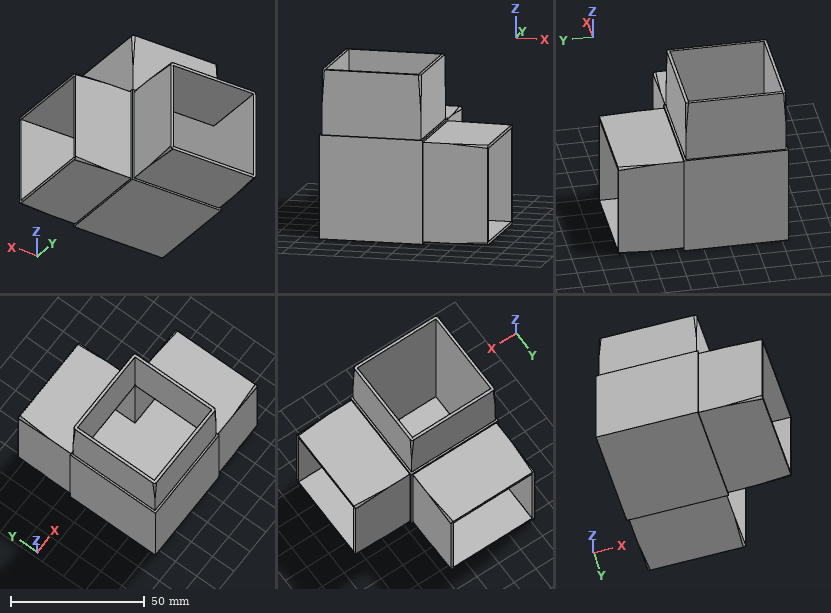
import cadquery as cq
import math

overall_size = 65.0
hub_size = 40.0

spigot_inset = 0.8
spigot_wall = 1.2
tip_corner_radius = 1.0
tip_taper_length = 15.0

spigot_width = hub_size - 2 * spigot_inset
bore_width = spigot_width - 2 * spigot_wall
bore_floor = spigot_inset + spigot_wall
spigot_length = overall_size - hub_size
hub_center = hub_size / 2


def centered_square(width, height):
    """Workplane with a square of the given width on the hub's vertical axis."""
    return cq.Workplane("XY", origin=(hub_center, hub_center, height)).rect(width, width)


def corner_wedge(x_side, y_side):
    """Slender wedge whose inner face rounds one spigot corner, growing to the full radius at the tip."""
    x_corner = hub_center + x_side * spigot_width / 2
    y_corner = hub_center + y_side * spigot_width / 2
    arc_inset = tip_corner_radius * (1 - math.sqrt(0.5))
    root = cq.Vertex.makeVertex(x_corner, y_corner, overall_size - tip_taper_length)
    tip_profile = (
        cq.Workplane("XY", origin=(x_corner, y_corner, overall_size))
        .moveTo(-x_side * tip_corner_radius, 0)
        .threePointArc((-x_side * arc_inset, -y_side * arc_inset), (0, -y_side * tip_corner_radius))
        .lineTo(0, 0)
        .close()
    )
    tip_face = cq.Face.makeFromWires(tip_profile.val())
    return cq.Workplane(cq.occ_impl.shapes.loft(root, tip_face, cap=True, ruled=True))


def upright_spigot():
    """Solid spigot on top of the hub, its corners rounded increasingly towards the tip."""
    spigot = centered_square(spigot_width, hub_size).extrude(spigot_length)
    for x_side in (-1, 1):
        for y_side in (-1, 1):
            spigot = spigot.cut(corner_wedge(x_side, y_side))
    return spigot


def upright_bore():
    """Square bore from the open end of the top spigot down into the hub."""
    return centered_square(bore_width, bore_floor).extrude(overall_size - bore_floor)


def along_each_axis(upright):
    """Copies of a Z-directed shape turned about the cube diagonal to X and Y as well."""
    return [upright.rotate((0, 0, 0), (1, 1, 1), turn) for turn in (0, 120, 240)]


result = cq.Workplane("XY").box(hub_size, hub_size, hub_size, centered=False)
for spigot in along_each_axis(upright_spigot()):
    result = result.union(spigot)

for bore in along_each_axis(upright_bore()):
    result = result.cut(bore)